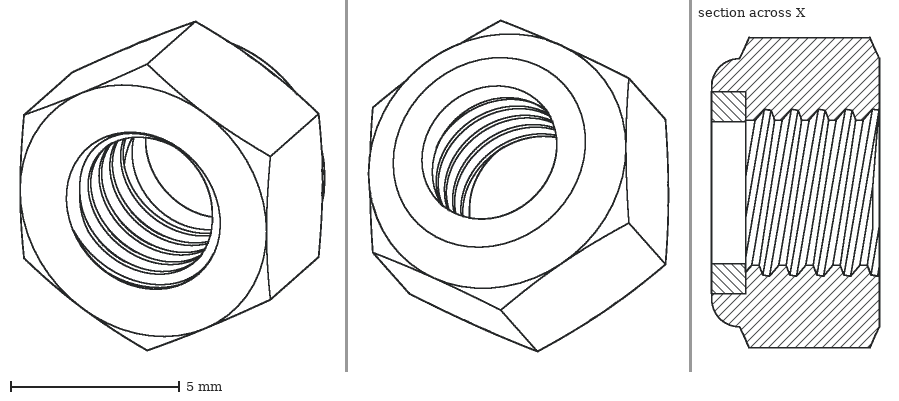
import cadquery as cq
import math

across_corners = 9.24
across_flats = across_corners * math.cos(math.pi / 6)
nut_length = 5.0
collar_height = 0.83
corner_chamfer = 0.29

major_diameter = 5.0
minor_diameter = 4.31
pitch = 0.8
groove_mouth = 0.75 * pitch
groove_root = 0.25 * pitch
thread_lean = 0.74
first_groove_offset = -0.27
groove_count = 6
countersink_slope = 30
mouth_overlap = 0.06

insert_bore = 4.21
insert_diameter = 6.01
insert_length = 1.02

front_y = -nut_length / 2
back_y = nut_length / 2
hex_end_y = back_y - collar_height
insert_y = back_y - insert_length
first_groove_y = front_y + first_groove_offset
thread_length = nut_length - insert_length


def along_y(start_y):
    """Sketch plane at start_y whose normal points to +Y."""
    return cq.Workplane(cq.Plane(origin=(0, start_y, 0), xDir=(1, 0, 0), normal=(0, 1, 0)))


def revolve_about_y(profile):
    return profile.close().revolve(360, (0, 0, 0), (0, 1, 0))


def make_hexagon():
    prism = (
        along_y(front_y)
        .polygon(6, across_corners)
        .extrude(hex_end_y - front_y)
        .rotate((0, 0, 0), (0, 1, 0), 30)
    )
    flat_radius = across_flats / 2
    corner_radius = across_corners / 2
    chamfer_envelope = revolve_about_y(
        cq.Workplane("XY")
        .moveTo(0, front_y)
        .lineTo(flat_radius, front_y)
        .lineTo(corner_radius, front_y + corner_chamfer)
        .lineTo(corner_radius, hex_end_y - corner_chamfer)
        .lineTo(flat_radius, hex_end_y)
        .lineTo(0, hex_end_y)
    )
    return prism.intersect(chamfer_envelope)


def make_collar():
    """Round collar whose outer edge is a full quarter-circle dome."""
    flat_radius = across_flats / 2
    rim_radius = flat_radius - collar_height
    dome_offset = collar_height * math.sin(math.pi / 4)
    return revolve_about_y(
        cq.Workplane("XY")
        .moveTo(0, hex_end_y)
        .lineTo(flat_radius, hex_end_y)
        .threePointArc((rim_radius + dome_offset, hex_end_y + dome_offset), (rim_radius, back_y))
        .lineTo(0, back_y)
    )


def make_bore():
    return along_y(front_y).circle(minor_diameter / 2).extrude(thread_length)


def make_countersink():
    """120-degree entry cone from the major to the minor diameter."""
    depth = (major_diameter - minor_diameter) / 2 * math.tan(math.radians(countersink_slope))
    return cq.Workplane(
        cq.Solid.makeCone(
            major_diameter / 2, minor_diameter / 2, depth, cq.Vector(0, front_y, 0), cq.Vector(0, 1, 0)
        )
    )


def make_thread_groove(center_y):
    """Trapezoidal ring groove, tilted about X so that its top leans to the front."""
    inner_radius = minor_diameter / 2 - mouth_overlap
    flank_run = (groove_mouth - groove_root) / (major_diameter - minor_diameter)
    inner_half_width = groove_mouth / 2 + mouth_overlap * flank_run
    ring = revolve_about_y(
        cq.Workplane("XY")
        .moveTo(inner_radius, -inner_half_width)
        .lineTo(major_diameter / 2, -groove_root / 2)
        .lineTo(major_diameter / 2, groove_root / 2)
        .lineTo(inner_radius, inner_half_width)
    )
    tilt = math.degrees(math.atan(thread_lean / minor_diameter))
    return ring.rotate((0, 0, 0), (1, 0, 0), tilt).translate((0, center_y, 0))


def make_insert():
    return along_y(insert_y).circle(insert_diameter / 2).circle(insert_bore / 2).extrude(insert_length)


def make_nut():
    insert_recess = along_y(insert_y).circle(insert_diameter / 2).extrude(insert_length)
    body = make_hexagon().union(make_collar()).cut(make_bore()).cut(make_countersink())
    for index in range(groove_count):
        body = body.cut(make_thread_groove(first_groove_y + index * pitch))
    return body.cut(insert_recess)


nut = make_nut()
insert = make_insert()
result = cq.Compound.makeCompound([nut.val(), insert.val()])